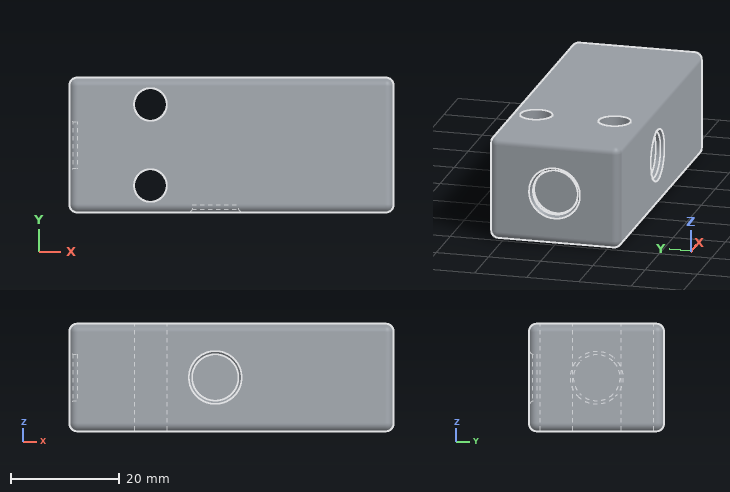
import cadquery as cq

length = 60.0
width = 25.0
height = 20.0
edge_radius = 1.5

mount_diameter = 6.0
mount_x = 15.0
mount_spacing = 15.0

port_diameter = 8.6
port_chamfer = 0.6
port_depth = 1.5
side_port_x = 27.0


def rounded_block():
    """Block with every outer edge rounded."""
    block = cq.Workplane("XY").box(length, width, height, centered=(False, True, True))
    return block.edges().fillet(edge_radius)


def mounting_holes():
    """Pair of vertical cylinders passing through the block."""
    return (
        cq.Workplane("XY", origin=(mount_x, 0, -height / 2))
        .pushPoints([(0, -mount_spacing / 2), (0, mount_spacing / 2)])
        .circle(mount_diameter / 2)
        .extrude(height)
    )


def port(mouth_centre, inward):
    """Blind flat-bottomed port cut inward from a face, wider at its mouth."""
    bore_radius = port_diameter / 2
    origin = cq.Vector(*mouth_centre)
    direction = cq.Vector(*inward)
    bore = cq.Solid.makeCylinder(bore_radius, port_depth, origin, direction)
    mouth = cq.Solid.makeCone(bore_radius + port_chamfer, bore_radius, port_chamfer, origin, direction)
    return bore.fuse(mouth)


side_port = port((side_port_x, -width / 2, 0), (0, 1, 0))
end_port = port((0, 0, 0), (1, 0, 0))

result = rounded_block().cut(mounting_holes()).cut(side_port).cut(end_port)